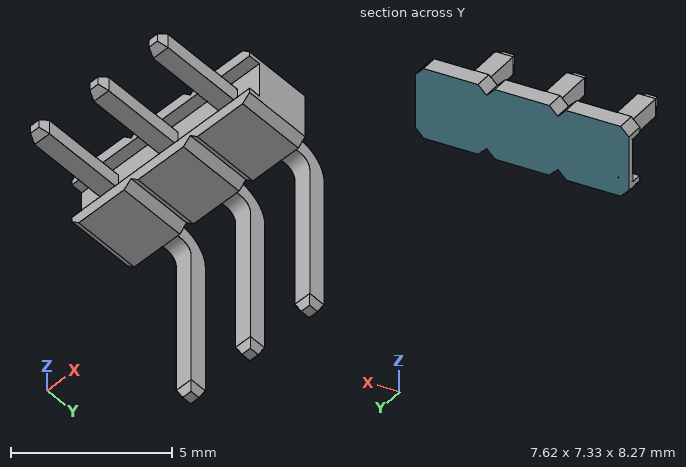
import cadquery as cq

pin_count = 3
pitch = 2.54
total_height = 8.27
total_depth = 7.33

body_length = pin_count * pitch
body_height = pitch
body_depth = 2.5
notch = 0.3
groove_depth = 0.44
groove_height = 1.54

pin_width = 0.645
tip_length = 0.33
tip_width = 0.36
bend_outer_radius = 1.07
bend_inner_radius = bend_outer_radius - pin_width
front_overhang = 2.99

pin_front = -front_overhang
pin_back = pin_front + total_depth
pin_bottom = body_height / 2 - total_height
pin_top = pin_width / 2
pin_positions = [(i - (pin_count - 1) / 2) * pitch for i in range(pin_count)]


def make_segment(x):
    """One housing segment: an octagonal block around one pin."""
    return (
        cq.Workplane("XY")
        .box(pitch, body_depth, body_height)
        .edges("|Y")
        .chamfer(notch)
        .translate((x, body_depth / 2, 0))
    )


def make_housing():
    """Joined segments with a groove along the front face."""
    housing = make_segment(pin_positions[0])
    for x in pin_positions[1:]:
        housing = housing.union(make_segment(x))
    groove = cq.Workplane("XY").box(body_length, groove_depth, groove_height)
    return housing.cut(groove.translate((0, groove_depth / 2, 0)))


def make_tip(plane):
    """Square taper that narrows along the plane's normal."""
    return (
        cq.Workplane(plane)
        .rect(pin_width, pin_width)
        .workplane(offset=tip_length)
        .rect(tip_width, tip_width)
        .loft(ruled=True)
    )


def make_pin(x):
    """Square wire bent downwards behind the housing, tapered at both ends."""
    front_shoulder = pin_front + tip_length
    bottom_shoulder = pin_bottom + tip_length
    bend_y = pin_back - bend_outer_radius
    bend_z = pin_top - bend_outer_radius
    diagonal = 0.5 ** 0.5
    outer_mid = bend_outer_radius * diagonal
    inner_mid = bend_inner_radius * diagonal
    wire = (
        cq.Workplane("YZ")
        .moveTo(front_shoulder, pin_top)
        .lineTo(bend_y, pin_top)
        .threePointArc((bend_y + outer_mid, bend_z + outer_mid), (pin_back, bend_z))
        .lineTo(pin_back, bottom_shoulder)
        .lineTo(pin_back - pin_width, bottom_shoulder)
        .lineTo(pin_back - pin_width, bend_z)
        .threePointArc((bend_y + inner_mid, bend_z + inner_mid), (bend_y, -pin_top))
        .lineTo(front_shoulder, -pin_top)
        .close()
        .extrude(pin_width / 2, both=True)
    )
    front_plane = cq.Plane((0, front_shoulder, 0), xDir=(1, 0, 0), normal=(0, -1, 0))
    bottom_plane = cq.Plane(
        (0, pin_back - pin_width / 2, bottom_shoulder), xDir=(1, 0, 0), normal=(0, 0, -1)
    )
    pin = wire.union(make_tip(front_plane)).union(make_tip(bottom_plane))
    return pin.translate((x, 0, 0))


result = make_housing()
for pin_x in pin_positions:
    result = result.union(make_pin(pin_x))